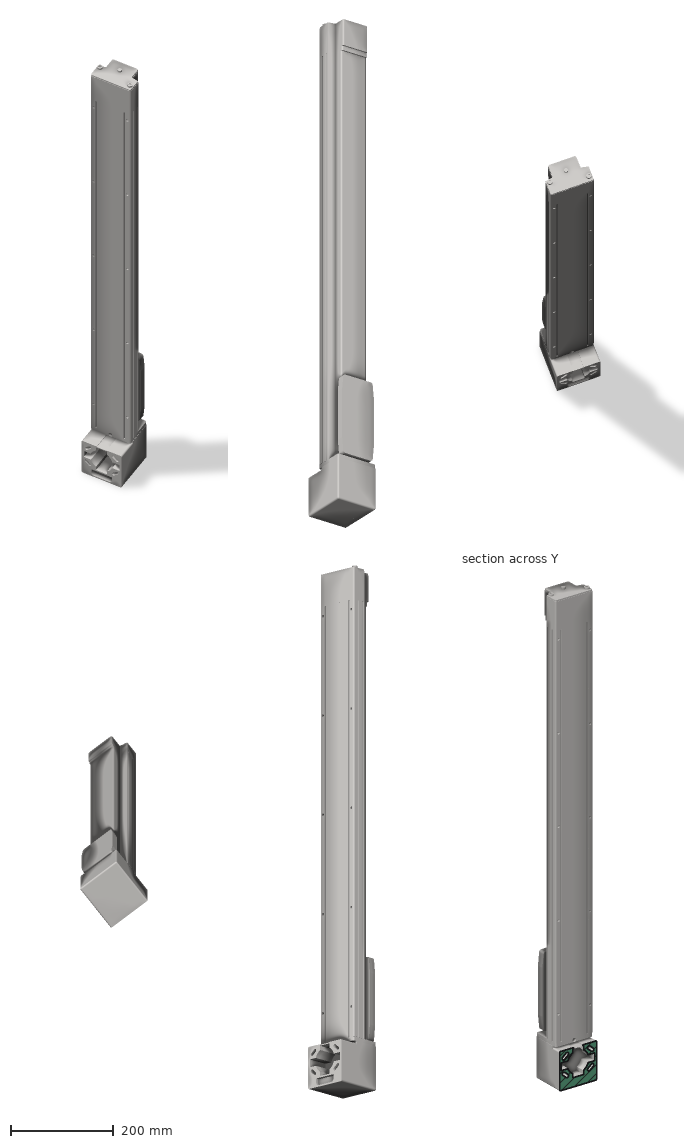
import cadquery as cq

total_height = 1048.0
total_depth = 103.0
width = 90.0
edge_round = 3.0

mount_depth = 44.0
mount_height = 85.0
mount_round = 3.0
shaft_height = 51.0
bore_radius = 25.0
relief_width = 25.0
relief_reach = 30.0
side_slot_height = 16.0
side_slot_reach = 40.0
bolt_slot_length = 17.0
bolt_slot_width = 6.0
bolt_x = 30.0
bolt_z = 20.0
bolt_slot_tilt = 40
foot_pocket_width = 46.0
foot_pocket_bottom = 3.0
foot_pocket_top = 18.0
foot_pocket_depth = 8.0
foot_pocket_round = 6.0
top_groove_width = 22.0
top_groove_depth = 1.0

housing_back = 100.0
collar_bottom = 89.0
collar_inset = 0.5
rail_bottom = 97.0
collar_hole_radius = 4.0
collar_hole_depth = 5.0

rail_front = 35.0
rail_back = 88.0
shoulder_inner = 68.0
shoulder_outer = 65.0
neck_width = 59.0
cap_bottom = 977.0
cover_width = 60.0
cover_gap = 3.0
cover_gap_depth = 2.0
side_groove_width = 3.0
side_groove_depth = 2.0
side_groove_places = (46.0, 61.0)
ledge_hole_x = 38.0
ledge_hole_radius = 2.6
ledge_hole_depth = 5.0
ledge_hole_first = 158.0
ledge_hole_pitch = 200.0
ledge_hole_rows = 5

screw_head_height = 4.0
cap_top = total_height - screw_head_height
cap_back = 94.0
cap_lip_back = 91.0
cap_lip_height = 9.0
cap_seam_drop = 3.0
cap_seam_inset = 0.5
screw_head_radius = 5.0
socket_radius = 2.6
socket_depth = 2.0
side_screw_places = ((-38.0, 60.0), (38.0, 45.0))
centre_stud_place = (0, 71.0)
centre_stud_radius = 4.0

carriage_width = 75.0
carriage_bottom = 101.0
carriage_top = 270.0
carriage_body_bottom = 133.0
carriage_body_top = 238.0
carriage_end_width = 69.0
carriage_corner_round = 5.0


def block(size_x, y_front, y_back, z_bottom, z_top):
    """Box centred on X between the given Y and Z limits."""
    box = cq.Workplane("XY").box(size_x, y_back - y_front, z_top - z_bottom, centered=(True, False, False))
    return box.translate((0, y_front, z_bottom))


def shouldered_bar(z_bottom, z_top, back, inset=0):
    """Upright bar: full width in front, sloping shoulders, then a narrower neck behind."""
    half = width / 2 - inset
    half_neck = neck_width / 2 - inset
    front = rail_front + inset
    right_side = [
        (half, front),
        (half, shoulder_outer - inset),
        (half_neck, shoulder_inner - inset),
        (half_neck, back - inset),
    ]
    left_side = [(-x, y) for x, y in reversed(right_side)]
    base = cq.Workplane("XY", origin=(0, 0, z_bottom))
    bar = base.polyline(right_side + left_side).close().extrude(z_top - z_bottom)
    return bar.edges("|Z and (<Y or >Y)").fillet(edge_round)


def front_plane(y):
    """Plane facing -Y at the given depth, with X to the right and Z up."""
    return cq.Workplane("XZ", origin=(0, y, 0))


def make_mount():
    mount = block(width, 0, mount_depth, 0, mount_height).edges("|Y").fillet(mount_round)
    face = front_plane(0).center(0, shaft_height)
    bore = face.circle(bore_radius).extrude(-mount_depth)
    upright_slot = face.rect(relief_width, 2 * relief_reach).extrude(-mount_depth)
    level_slot = face.rect(2 * side_slot_reach, side_slot_height).extrude(-mount_depth)
    mount = mount.cut(bore).cut(upright_slot).cut(level_slot)
    for side in (-1, 1):
        for level in (-1, 1):
            slot = face.center(side * bolt_x, level * bolt_z)
            slot = slot.slot2D(bolt_slot_length, bolt_slot_width, -side * level * bolt_slot_tilt)
            mount = mount.cut(slot.extrude(-mount_depth))
    foot_pocket = block(foot_pocket_width, 0, foot_pocket_depth, foot_pocket_bottom, foot_pocket_top)
    mount = mount.cut(foot_pocket.edges("|Y and <Z").fillet(foot_pocket_round))
    top_groove = block(top_groove_width, 0, mount_depth, mount_height - top_groove_depth, mount_height)
    return mount.cut(top_groove)


def make_housing():
    body = block(width, mount_depth, housing_back, 0, collar_bottom)
    body = body.edges("|Y and <Z").fillet(mount_round).edges("|Z and >Y").fillet(edge_round)
    collar_width = width - 2 * collar_inset
    collar = block(collar_width, rail_front, housing_back - collar_inset, collar_bottom, rail_bottom)
    collar = collar.edges("|Z").fillet(edge_round)
    hole_height = (collar_bottom + rail_bottom) / 2
    hole = front_plane(rail_front).center(0, hole_height).circle(collar_hole_radius).extrude(-collar_hole_depth)
    return body.union(collar).cut(hole)


def make_rail():
    rail = shouldered_bar(rail_bottom, cap_bottom, rail_back)
    for side in (-1, 1):
        gap = block(cover_gap, rail_front, rail_front + cover_gap_depth, rail_bottom, cap_bottom)
        rail = rail.cut(gap.translate((side * (cover_width + cover_gap) / 2, 0, 0)))
        for y in side_groove_places:
            half_groove = side_groove_width / 2
            groove = block(2 * side_groove_depth, y - half_groove, y + half_groove, rail_bottom, cap_bottom)
            rail = rail.cut(groove.translate((side * width / 2, 0, 0)))
        for row in range(ledge_hole_rows):
            height = ledge_hole_first + row * ledge_hole_pitch
            hole = front_plane(rail_front).center(side * ledge_hole_x, height).circle(ledge_hole_radius)
            rail = rail.cut(hole.extrude(-ledge_hole_depth))
    return rail


def make_end_cap():
    lip_top = cap_bottom + cap_lip_height
    cap = shouldered_bar(cap_bottom, lip_top, cap_lip_back)
    seam = cap_top - cap_seam_drop
    cap = cap.union(shouldered_bar(lip_top, seam, cap_back))
    cap = cap.union(shouldered_bar(seam, cap_top, cap_back, cap_seam_inset))
    top_face = cq.Workplane("XY", origin=(0, 0, cap_top))
    for x, y in side_screw_places:
        cap = cap.union(top_face.center(x, y).circle(screw_head_radius).extrude(screw_head_height))
        socket = cq.Workplane("XY", origin=(x, y, total_height)).circle(socket_radius).extrude(-socket_depth)
        cap = cap.cut(socket)
    centre_stud = top_face.center(*centre_stud_place).circle(centre_stud_radius)
    return cap.union(centre_stud.extrude(screw_head_height))


def make_carriage():
    half = carriage_width / 2
    half_end = carriage_end_width / 2
    right_side = [
        (half_end, carriage_bottom),
        (half, carriage_body_bottom),
        (half, carriage_body_top),
        (half_end, carriage_top),
    ]
    left_side = [(-x, z) for x, z in reversed(right_side)]
    outline = front_plane(rail_back).polyline(right_side + left_side).close()
    carriage = outline.extrude(rail_back - total_depth)
    end_corners = carriage.faces("<Z or >Z").edges("|Y")
    return end_corners.fillet(carriage_corner_round)


mount = make_mount()
housing = make_housing()
rail = make_rail()
end_cap = make_end_cap()
carriage = make_carriage()

result = cq.Compound.makeCompound(
    [mount.val(), housing.val(), rail.val(), end_cap.val(), carriage.val()]
)